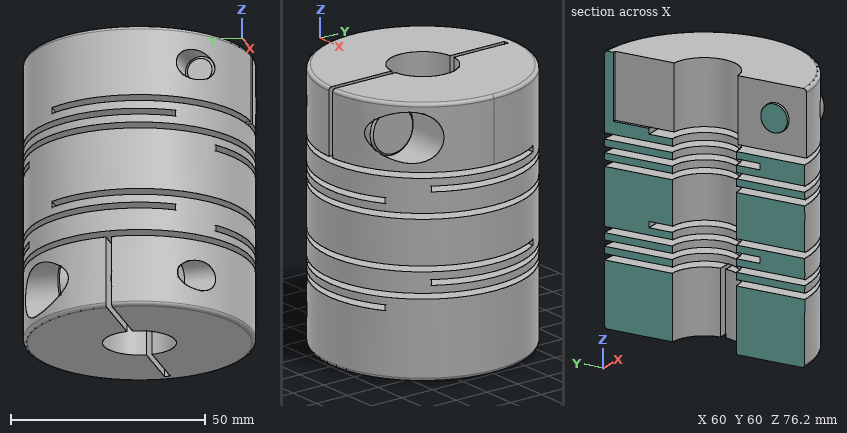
import cadquery as cq

length = 76.2
body_diameter = 60.0
bore_diameter = 19.05
rim_fillet = 1.0
body_radius = body_diameter / 2

hub_height = 18.9
flexure_width = 1.6
flexure_pitch = 3.7
flexure_reach = 16.5
flexure_span = body_radius + flexure_reach

upper_open_sides = ("-Y", "+Y", "-X", "+X")
lower_open_sides = ("-X", "+X", "+Y", "-Y")
turn_from_minus_y = {"-Y": 0, "+X": 90, "+Y": 180, "-X": 270}

clamp_slot_width = 1.5
clamp_slot_reach = 27.1
clamp_slot_span = body_radius + clamp_slot_reach
screw_offset = 20.7
screw_height = hub_height / 2
shank_diameter = 8.1
head_diameter = 14.0
head_seat = 6.3
head_end = 14.3
shank_tip = 16.85
head_chamfer = 0.6
shank_chamfer = 0.8


def make_body():
    body = cq.Workplane("XY").circle(body_radius).extrude(length)
    body = body.faces("<Z or >Z").edges().fillet(rim_fillet)
    return body.cut(cq.Workplane("XY").circle(bore_diameter / 2).extrude(length))


def flexure_slot(open_side, bottom):
    slot = cq.Workplane("XY").box(body_diameter, flexure_span, flexure_width, centered=(True, False, False))
    slot = slot.translate((0, -body_radius, bottom))
    return slot.rotate((0, 0, 0), (0, 0, 1), turn_from_minus_y[open_side])


def x_cylinder(diameter, start, end):
    """Cylinder on the screw axis of the upper hub, from X = start to X = end."""
    plane = cq.Plane(origin=(start, -screw_offset, length - screw_height), xDir=(0, 1, 0), normal=(1, 0, 0))
    return cq.Workplane(plane).circle(diameter / 2).extrude(end - start)


def clamp_cuts():
    """Clamp slot, screw hole and counterbore of the upper hub."""
    slot = cq.Workplane("XY").box(clamp_slot_width, clamp_slot_span, hub_height, centered=(True, False, False))
    slot = slot.translate((0, -body_radius, length - hub_height))
    hole = x_cylinder(shank_diameter, -body_radius, head_seat)
    counterbore = x_cylinder(head_diameter, head_seat, body_radius)
    return slot.union(hole).union(counterbore)


def clamp_screw():
    """Screw of the upper hub; its head stands slightly proud of the body's side."""
    shank = x_cylinder(shank_diameter, -shank_tip, head_seat).faces("<X").chamfer(shank_chamfer)
    head = x_cylinder(head_diameter, head_seat, head_end).faces(">X").chamfer(head_chamfer)
    return shank.union(head)


def on_lower_hub(shape):
    """Half turn about the horizontal line X = Y at mid length, which swaps X with Y and flips Z."""
    middle = length / 2
    return shape.rotate((0, 0, middle), (0.8, 0.8, middle), 180)


result = make_body()

for index, open_side in enumerate(upper_open_sides):
    slot_top = length - hub_height - index * flexure_pitch
    result = result.cut(flexure_slot(open_side, slot_top - flexure_width))

for index, open_side in enumerate(lower_open_sides):
    slot_bottom = hub_height + index * flexure_pitch
    result = result.cut(flexure_slot(open_side, slot_bottom))

result = result.cut(clamp_cuts()).cut(on_lower_hub(clamp_cuts()))
result = result.union(clamp_screw()).union(on_lower_hub(clamp_screw()))